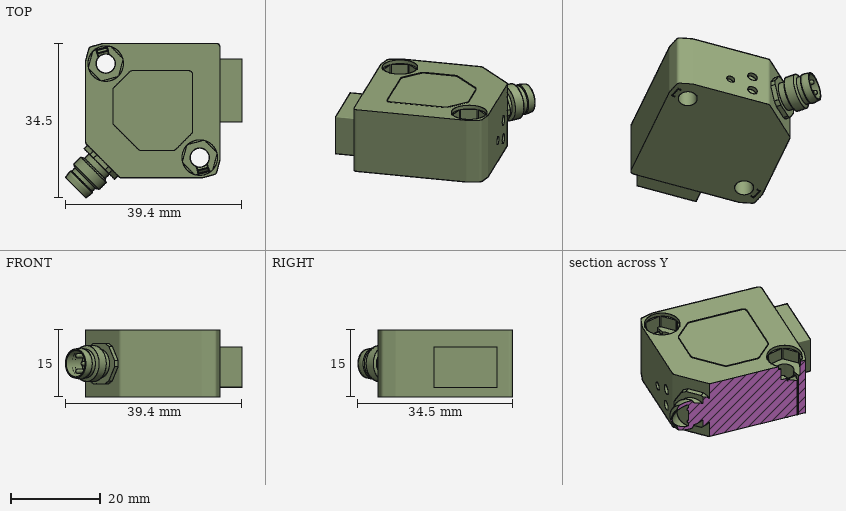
import cadquery as cq
import math

BODY_SIDE = 30.0
BODY_HEIGHT = 15.0
HALF_SIDE = BODY_SIDE / 2
MID_HEIGHT = BODY_HEIGHT / 2
EDGE_RADIUS = 0.85
PLUG_CORNER_CUT = 7.75
BOLT_CORNER_LEG = 4.0
BOLT_CORNER_ANGLE = 15
BOLT_CORNER_INSET = BOLT_CORNER_LEG / (1 + 1 / math.tan(math.radians(BOLT_CORNER_ANGLE)))

HEAD_LENGTH = 4.9
HEAD_WIDTH = 14.1
HEAD_HEIGHT = 9.0
HEAD_CENTER_Y = 4.5
HEAD_CENTER_Z = 6.7
HEAD_EDGE_RADIUS = 0.15

PANEL_SIDE = 17.8
PANEL_DEPTH = 0.2
PANEL_BOLT_CUT = 4.0
PANEL_PLUG_CUT = 5.95
PANEL_RADIUS = 0.85

HOLE_INSET = 4.53
HOLE_CENTER = HALF_SIDE - HOLE_INSET
HOLE_DIAMETER = 4.2
RECESS_DIAMETER = 7.9
RECESS_DEPTH = 0.85
NUT_FLATS = 7.0
NUT_SEAT_DEPTH = 3.85
NUT_SEAT_Z = BODY_HEIGHT - NUT_SEAT_DEPTH
CLIP_ANGLE = 105

CLIP_SLOT_WIDTH = 2.55
CLIP_SLOT_REACH = 3.5
CLIP_GAP = 0.15
CLIP_CREST_DROP = 0.4
CLIP_CREST_START = 2.55
CLIP_CREST_END = 2.75
CLIP_BACK_DROP = 1.0

INDICATORS = [(-3.23, 7.7, 2.25), (-3.23, 3.25, 2.25), (1.93, 5.0, 1.85)]
INDICATOR_DEPTH = 0.9

PLUG_NUT_FLATS = 9.0
PLUG_NUT_CORNERS = 9.65
PLUG_NUT_THICKNESS = 1.1
NECK_RADIUS = 3.23
COLLAR_RADIUS = 4.0
COLLAR_START = 2.5
COLLAR_END = 5.55
COLLAR_BEVEL = 0.4
RIM_RADIUS = 3.42
RIM_START = 6.55
RIM_BEVEL = 0.2
RIM_TAPER_START = 7.28
TIP_RADIUS = 3.23
PLUG_LENGTH = 8.55
SOCKET_RADIUS = 2.95
SOCKET_DEPTH = 4.95
PIN_RADIUS = 0.5
PIN_OFFSET = 1.75
PIN_TIP_INSET = 0.2
EMBED = 0.4


def make_body():
    h = HALF_SIDE
    inset = h - BOLT_CORNER_INSET
    taper = h - BOLT_CORNER_LEG
    cut = h - PLUG_CORNER_CUT
    outline = [
        (h, h), (-taper, h), (-inset, inset), (-h, taper),
        (-h, -cut), (-cut, -h),
        (taper, -h), (inset, -inset), (h, -taper),
    ]
    body = cq.Workplane("XY").polyline(outline).close().extrude(BODY_HEIGHT)
    return body.edges("|Z").fillet(EDGE_RADIUS)


def make_head():
    length = HEAD_LENGTH + EMBED
    head = cq.Workplane("XY").box(length, HEAD_WIDTH, HEAD_HEIGHT)
    head = head.edges("|X").fillet(HEAD_EDGE_RADIUS)
    return head.translate((HALF_SIDE - EMBED + length / 2, HEAD_CENTER_Y, HEAD_CENTER_Z))


def make_panel_cutter():
    h = PANEL_SIDE / 2
    bolt = h - PANEL_BOLT_CUT
    plug = h - PANEL_PLUG_CUT
    outline = [(h, h), (-bolt, h), (-h, bolt), (-h, -plug), (-plug, -h), (bolt, -h), (h, -bolt)]
    panel = cq.Workplane("XY").workplane(offset=BODY_HEIGHT - PANEL_DEPTH)
    panel = panel.polyline(outline).close().extrude(PANEL_DEPTH)
    return panel.edges("|Z").fillet(PANEL_RADIUS)


def hexagon(plane, flats, height, turn):
    """Hexagonal prism; turn = 0 puts corners on the local X axis."""
    prism = cq.Workplane("XY").polygon(6, flats / math.cos(math.pi / 6)).extrude(height)
    prism = prism.rotate((0, 0, 0), (0, 0, 1), turn)
    return cq.Workplane(prism.val().moved(cq.Location(plane)))


def make_clip_slot():
    """Slot around the nut clip, which points along +X from the hole axis."""
    hole_radius = HOLE_DIAMETER / 2
    crest_z = NUT_SEAT_Z - CLIP_CREST_DROP
    ramp_radius = CLIP_CREST_START - hole_radius
    foot_z = crest_z - ramp_radius
    back = CLIP_SLOT_REACH - CLIP_GAP
    tongue_width = CLIP_SLOT_WIDTH - 2 * CLIP_GAP

    pocket_depth = NUT_SEAT_Z - foot_z
    pocket = cq.Workplane("XY").workplane(offset=foot_z)
    pocket = pocket.rect(2 * CLIP_SLOT_REACH, CLIP_SLOT_WIDTH).extrude(pocket_depth)
    pocket = pocket.intersect(
        cq.Workplane("XY").box(CLIP_SLOT_REACH, BODY_SIDE, BODY_HEIGHT, centered=(False, True, False))
    )
    gap_length = CLIP_SLOT_REACH - CLIP_CREST_END
    gap = cq.Workplane("XY").box(gap_length, CLIP_SLOT_WIDTH, NUT_SEAT_Z, centered=(False, True, False))
    gap = gap.translate((CLIP_CREST_END, 0, 0))
    tongue = (
        cq.Workplane("XZ")
        .moveTo(hole_radius, 0)
        .lineTo(hole_radius, foot_z)
        .radiusArc((CLIP_CREST_START, crest_z), -ramp_radius)
        .lineTo(CLIP_CREST_END, crest_z)
        .lineTo(back, crest_z - CLIP_BACK_DROP)
        .lineTo(back, 0)
        .close()
        .extrude(tongue_width / 2, both=True)
    )
    return pocket.union(gap).cut(tongue)


def make_screw_hole_cutter():
    """Everything removed for the screw hole at (-X, +Y)."""
    recess_plane = cq.Workplane("XY").workplane(offset=BODY_HEIGHT - RECESS_DEPTH)
    recess = recess_plane.circle(RECESS_DIAMETER / 2).extrude(RECESS_DEPTH)
    seat_limit = cq.Workplane("XY").workplane(offset=NUT_SEAT_Z)
    seat_limit = seat_limit.circle(RECESS_DIAMETER / 2).extrude(NUT_SEAT_DEPTH - RECESS_DEPTH)
    seat = hexagon(cq.Plane((0, 0, NUT_SEAT_Z)), NUT_FLATS, NUT_SEAT_DEPTH, 30).intersect(seat_limit)
    bore = cq.Workplane("XY").circle(HOLE_DIAMETER / 2).extrude(BODY_HEIGHT)
    cutter = bore.union(recess).union(seat).union(make_clip_slot())
    cutter = cutter.rotate((0, 0, 0), (0, 0, 1), CLIP_ANGLE)
    return cutter.translate((-HOLE_CENTER, HOLE_CENTER, 0))


def make_indicator_cutter(y, z, diameter):
    plane = cq.Plane((-HALF_SIDE, y, z), xDir=(0, 1, 0), normal=(1, 0, 0))
    return cq.Workplane(plane).circle(diameter / 2).extrude(INDICATOR_DEPTH)


def make_plug():
    face_center = -HALF_SIDE + PLUG_CORNER_CUT / 2
    base = (face_center, face_center, MID_HEIGHT)
    cross_plane = cq.Plane(base, xDir=(1, -1, 0), normal=(-1, -1, 0))
    profile_plane = cq.Plane(base, xDir=(-1, 1, 0), normal=(0, 0, 1))

    nut = hexagon(cross_plane, PLUG_NUT_FLATS, PLUG_NUT_THICKNESS, 0)
    nut = nut.intersect(hexagon(cross_plane, PLUG_NUT_CORNERS, PLUG_NUT_THICKNESS, 30))

    socket_floor = PLUG_LENGTH - SOCKET_DEPTH
    profile = [
        (0, -EMBED),
        (NECK_RADIUS, -EMBED),
        (NECK_RADIUS, COLLAR_START),
        (COLLAR_RADIUS, COLLAR_START + COLLAR_BEVEL),
        (COLLAR_RADIUS, COLLAR_END - COLLAR_BEVEL),
        (NECK_RADIUS, COLLAR_END),
        (NECK_RADIUS, RIM_START),
        (RIM_RADIUS, RIM_START + RIM_BEVEL),
        (RIM_RADIUS, RIM_TAPER_START),
        (TIP_RADIUS, PLUG_LENGTH),
        (SOCKET_RADIUS, PLUG_LENGTH),
        (SOCKET_RADIUS, socket_floor),
        (0, socket_floor),
    ]
    shell = cq.Workplane(profile_plane).polyline(profile).close().revolve(360, (0, 0), (0, 1))

    pin_centers = [(0, PIN_OFFSET), (PIN_OFFSET, 0), (0, -PIN_OFFSET)]
    pin_base = socket_floor - EMBED
    dome_center = PLUG_LENGTH - PIN_TIP_INSET - PIN_RADIUS
    pins = cq.Workplane(cross_plane).workplane(offset=pin_base).pushPoints(pin_centers)
    pins = pins.circle(PIN_RADIUS).extrude(dome_center - pin_base)
    domes = cq.Workplane(cross_plane).workplane(offset=dome_center).pushPoints(pin_centers)
    domes = domes.sphere(PIN_RADIUS)
    return nut.union(shell).union(pins).union(domes)


result = make_body().union(make_head()).cut(make_panel_cutter())

screw_hole = make_screw_hole_cutter()
for turn in (0, 180):
    result = result.cut(screw_hole.rotate((0, 0, 0), (0, 0, 1), turn))

for y, z, diameter in INDICATORS:
    result = result.cut(make_indicator_cutter(y, z, diameter))

result = result.union(make_plug())